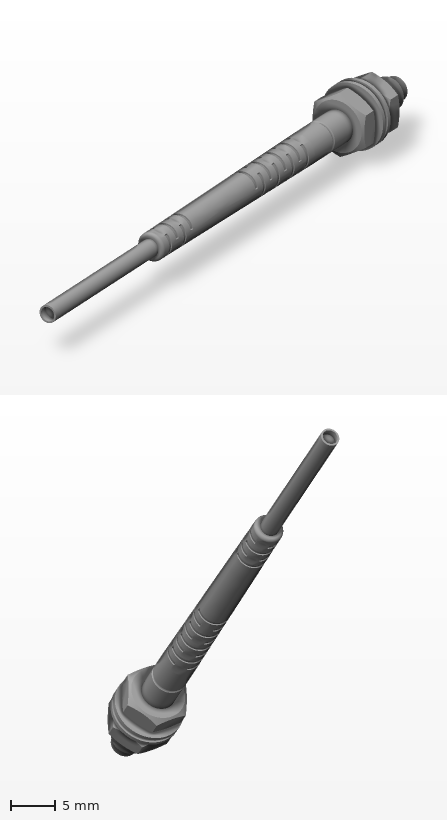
import cadquery as cq
import math

TOTAL_LENGTH = 73.3
FRONT_Y = TOTAL_LENGTH / 2
REAR_Y = -TOTAL_LENGTH / 2

TIP_RADIUS = 1.55
NOSE_LENGTH = 0.7
NOSE_FACE_RADIUS = 0.65
NOSE_BASE_RADIUS = 1.4

BARREL_RADIUS = 2.05
BARREL_FRONT_Y = 34.6
BARREL_REAR_Y = 19.8
JOINT_CHAMFER = 0.2

NUT_ACROSS_FLATS = 7.0
NUT_THICKNESS = 2.6
NUT_FACE_RADIUS = 3.2
NUT_CHAMFER_DROP = 0.5
CORNERS_UP_TURN = 30.0
FRONT_NUT_Y = 31.45
WASHER_DIAMETER = 8.3
WASHER_THICKNESS = 0.5
STACK_GAP = 0.5

BOOT_TAPER_Y = 15.85
BOOT_END_RADIUS = 1.75
BOOT_END_Y = -15.3
BOOT_END_FILLET = 0.4
NECK_END_Y = -15.8

SLOT_WIDTH = 0.5
SLOT_DEPTH = 0.15
SLOT_BRIDGE_WIDTH = 1.55
SLOT_TWIST = 13.0
QUARTER_TURN = 90.0
FRONT_SLOT_Y = 14.4
FRONT_SLOT_COUNT = 8
FRONT_ROW_SPAN = 10.4
SLOT_PITCH = FRONT_ROW_SPAN / (FRONT_SLOT_COUNT - 1)
REAR_SLOT_Y = -9.3
REAR_SLOT_COUNT = 4

CABLE_RADIUS = 1.1
CORE_RADIUS = 0.3
SLEEVE_BORE_RADIUS = 0.9
SLEEVE_FRONT_Y = -35.7


def disc(radius, front_y, rear_y):
    """Solid cylinder along Y between two stations."""
    return cq.Workplane("XZ", origin=(0, front_y, 0)).circle(radius).extrude(front_y - rear_y)


def ring(outer_radius, inner_radius, front_y, rear_y):
    """Plain tube along Y between two stations."""
    face = cq.Workplane("XZ", origin=(0, front_y, 0)).circle(outer_radius).circle(inner_radius)
    return face.extrude(front_y - rear_y)


def revolve_about_y(profile):
    """Turn a closed (radius, y) profile in the XY plane about the Y axis."""
    return profile.close().revolve(360, (0, 0, 0), (0, 1, 0))


def make_tip():
    """Short cylinder with a narrow shoulder and a blunt conical nose."""
    shoulder_y = FRONT_Y - NOSE_LENGTH
    return revolve_about_y(
        cq.Workplane("XY").polyline(
            [
                (0, BARREL_FRONT_Y),
                (TIP_RADIUS, BARREL_FRONT_Y),
                (TIP_RADIUS, shoulder_y),
                (NOSE_BASE_RADIUS, shoulder_y),
                (NOSE_FACE_RADIUS, FRONT_Y),
                (0, FRONT_Y),
            ]
        )
    )


def make_barrel():
    """Plain barrel, chamfered at both ends."""
    return disc(BARREL_RADIUS, BARREL_FRONT_Y, BARREL_REAR_Y).edges("%CIRCLE").chamfer(JOINT_CHAMFER)


def make_nut(front_y):
    """Hexagon nut with corners pointing up and down and both ends turned conical."""
    rear_y = front_y - NUT_THICKNESS
    corner_radius = NUT_ACROSS_FLATS / 2 / math.cos(math.pi / 6)
    hexagon = (
        cq.Workplane("XZ", origin=(0, front_y, 0))
        .polygon(6, 2 * corner_radius)
        .extrude(NUT_THICKNESS)
        .rotate((0, 0, 0), (0, 1, 0), CORNERS_UP_TURN)
    )
    turned_envelope = revolve_about_y(
        cq.Workplane("XY").polyline(
            [
                (0, front_y),
                (NUT_FACE_RADIUS, front_y),
                (corner_radius, front_y - NUT_CHAMFER_DROP),
                (corner_radius, rear_y + NUT_CHAMFER_DROP),
                (NUT_FACE_RADIUS, rear_y),
                (0, rear_y),
            ]
        )
    )
    return hexagon.intersect(turned_envelope).cut(disc(BARREL_RADIUS, front_y, rear_y))


def make_washer(front_y):
    """Flat round washer that fits the barrel."""
    return ring(WASHER_DIAMETER / 2, BARREL_RADIUS, front_y, front_y - WASHER_THICKNESS)


def boot_radius(y):
    """Outside radius of the boot's tapered stretch at station y."""
    share = (BOOT_TAPER_Y - y) / (BOOT_TAPER_Y - BOOT_END_Y)
    return BARREL_RADIUS + (BOOT_END_RADIUS - BARREL_RADIUS) * min(max(share, 0), 1)


def boot_slot_pair(centre_y, turn):
    """Two shallow arc slots on opposite sides, parted by two bridges."""
    front_y = centre_y + SLOT_WIDTH / 2
    rear_y = centre_y - SLOT_WIDTH / 2
    clear_radius = 2 * BARREL_RADIUS
    band = ring(clear_radius, boot_radius(centre_y) - SLOT_DEPTH, front_y, rear_y)
    bridges = (
        cq.Workplane("XY")
        .box(SLOT_BRIDGE_WIDTH, 2 * SLOT_WIDTH, 2 * clear_radius)
        .translate((0, centre_y, 0))
    )
    return band.cut(bridges).rotate((0, 0, 0), (0, 1, 0), turn)


def make_boot():
    """Tapered bend-relief boot with its rows of slots and a short neck."""
    boot = revolve_about_y(
        cq.Workplane("XY").polyline(
            [
                (0, BARREL_REAR_Y),
                (BARREL_RADIUS - JOINT_CHAMFER, BARREL_REAR_Y),
                (BARREL_RADIUS, BARREL_REAR_Y - JOINT_CHAMFER),
                (BARREL_RADIUS, BOOT_TAPER_Y),
                (BOOT_END_RADIUS, BOOT_END_Y),
                (0, BOOT_END_Y),
            ]
        )
    )
    boot = boot.faces("<Y").edges().fillet(BOOT_END_FILLET)
    boot = boot.union(disc(CABLE_RADIUS, BOOT_END_Y, NECK_END_Y))

    rows = [
        (FRONT_SLOT_Y, FRONT_SLOT_COUNT, SLOT_TWIST),
        (REAR_SLOT_Y, REAR_SLOT_COUNT, SLOT_TWIST + QUARTER_TURN),
    ]
    for first_y, count, first_turn in rows:
        for index in range(count):
            centre_y = first_y - index * SLOT_PITCH
            boot = boot.cut(boot_slot_pair(centre_y, first_turn + QUARTER_TURN * index))
    return boot


def make_cable():
    """Cable jacket between the boot neck and the end sleeve."""
    return ring(CABLE_RADIUS, CORE_RADIUS, NECK_END_Y, SLEEVE_FRONT_Y)


def make_core():
    """Core that fills the cable jacket."""
    return disc(CORE_RADIUS, NECK_END_Y, SLEEVE_FRONT_Y)


def make_end_sleeve():
    """Thin open sleeve that continues the cable jacket to the rear end."""
    return ring(CABLE_RADIUS, SLEEVE_BORE_RADIUS, SLEEVE_FRONT_Y, REAR_Y)


washer_pitch = WASHER_THICKNESS + STACK_GAP
front_washer_y = FRONT_NUT_Y - NUT_THICKNESS - STACK_GAP
washer_stations = [front_washer_y - index * washer_pitch for index in range(2)]
rear_nut_y = washer_stations[-1] - washer_pitch

tip = make_tip()
barrel = make_barrel()
nuts = [make_nut(y).val() for y in (FRONT_NUT_Y, rear_nut_y)]
washers = [make_washer(y).val() for y in washer_stations]
boot = make_boot()
cable = make_cable()
core = make_core()
end_sleeve = make_end_sleeve()

result = cq.Compound.makeCompound(
    [
        tip.val(),
        barrel.val(),
        *nuts,
        *washers,
        boot.val(),
        cable.val(),
        core.val(),
        end_sleeve.val(),
    ]
)